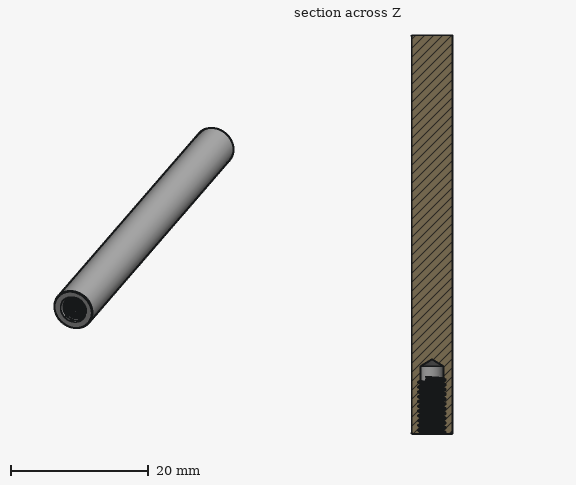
import cadquery as cq
import math

rod_length = 58.0
rod_diameter = 6.0
rim_chamfer = 0.1

bore_diameter = 3.3
thread_diameter = 4.0
thread_pitch = 0.7
mouth_diameter = 3.9
thread_depth = 8.1
bore_depth = 9.85
drill_point_angle = 118.0
flank_angle = 60.0
thread_start_angle = 240.0
flank_overlap = 0.05

rod_radius = rod_diameter / 2
bore_radius = bore_diameter / 2
thread_radius = thread_diameter / 2


def drilled_hole():
    """Drill shape pointing up +Z from the origin: a cylinder with a conical tip."""
    tip_height = bore_radius / math.tan(math.radians(drill_point_angle / 2))
    return (
        cq.Workplane("XZ")
        .lineTo(bore_radius, 0)
        .lineTo(bore_radius, bore_depth)
        .lineTo(0, bore_depth + tip_height)
        .close()
        .revolve(360, (0, 0, 0), (0, 1, 0))
    )


def mouth_countersink():
    """45 degree cone that widens the bore to the mouth diameter at the end face."""
    mouth_radius = mouth_diameter / 2
    return cq.Workplane(cq.Solid.makeCone(mouth_radius, bore_radius, mouth_radius - bore_radius))


def thread_groove():
    """Helical groove cutter along +Z that starts one pitch outside the end face."""
    inner_radius = bore_radius - flank_overlap
    floor_half_width = thread_pitch / 16
    flank_rise = (thread_radius - inner_radius) * math.tan(math.radians(flank_angle / 2))
    mouth_half_width = floor_half_width + flank_rise
    helix = cq.Wire.makeHelix(thread_pitch, thread_depth + thread_pitch, inner_radius)
    return (
        cq.Workplane("XZ")
        .polyline([
            (inner_radius, -mouth_half_width),
            (thread_radius, -floor_half_width),
            (thread_radius, floor_half_width),
            (inner_radius, mouth_half_width),
        ])
        .close()
        .sweep(cq.Workplane(helix), isFrenet=True)
        .translate((0, 0, -thread_pitch))
        .rotate((0, 0, 0), (0, 0, 1), thread_start_angle)
    )


rod = (
    cq.Workplane("XY")
    .circle(rod_radius)
    .extrude(rod_length)
    .edges("%CIRCLE")
    .chamfer(rim_chamfer)
)
tapped_rod = rod.cut(drilled_hole()).cut(mouth_countersink()).cut(thread_groove())
result = tapped_rod.solids().rotate((0, 0, 0), (1, 0, 0), -90).translate((0, -rod_length / 2, 0))